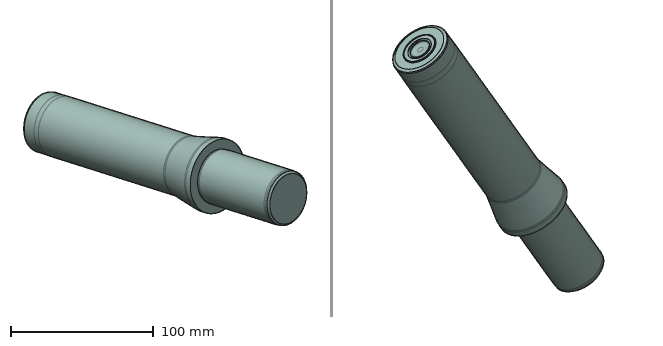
import cadquery as cq

LENGTH = 242.0
FRONT_X = -LENGTH / 2

BARREL_DIAMETER = 44.0
FACE_DIAMETER = 38.7
RIM_DIAMETER = 43.0
RIM_SETBACK = 0.7
LEAD_IN_START = 1.7
LEAD_IN_START_DIAMETER = 43.8
LEAD_IN_BLEND_START = 11.4
LEAD_IN_BLEND_START_DIAMETER = 43.8
LEAD_IN_END = 15.7

FLARE_START = 140.8
FLARE_END = 166.5
COLLAR_END = 171.5
COLLAR_DIAMETER = 54.0
FLARE_BLEND_RADIUS = 7.3

SHANK_DIAMETER = 40.0
RELIEF_DIAMETER = 39.5
REAR_RELIEF_START = 239.0
FRONT_RELIEF_END = 172.3
RELIEF_CONE_LENGTH = 1.2
END_CHAMFER = 1.5

PLUG_DIAMETER = 25.7
PLUG_LENGTH = 14.5
PLUG_CHAMFER = 0.7
RECESS_DIAMETER = 18.5
RECESS_DEPTH = 0.5
STEP_DIAMETER = 15.5
DISH_DIAMETER = 13.5
DISH_RIM_DEPTH = 1.0
DISH_FLOOR_DIAMETER = 4.4
DISH_FLOOR_DEPTH = 1.5


def axial_sketch():
    """XY workplane whose local X starts at the front face and local Y is the radius."""
    return cq.Workplane("XY", origin=(FRONT_X, 0, 0))


def revolve_about_axis(profile):
    return profile.close().revolve(360, (0, 0, 0), (1, 0, 0))


def blend_flare(bar):
    """Round the two circular edges at the small and large ends of the flare."""
    tolerance = 0.2
    for station in (FLARE_START, FLARE_END):
        x = FRONT_X + station
        edge = cq.selectors.BoxSelector(
            (x - tolerance, -LENGTH, -LENGTH),
            (x + tolerance, LENGTH, LENGTH),
            boundingbox=True,
        )
        bar = bar.edges(edge).edges("%CIRCLE").fillet(FLARE_BLEND_RADIUS)
    return bar


def make_bar():
    """Barrel, flared collar and shank, with a blind hole for the plug."""
    barrel_radius = BARREL_DIAMETER / 2
    collar_radius = COLLAR_DIAMETER / 2
    shank_radius = SHANK_DIAMETER / 2
    relief_radius = RELIEF_DIAMETER / 2
    profile = (
        axial_sketch()
        .moveTo(PLUG_LENGTH, 0)
        .lineTo(PLUG_LENGTH, PLUG_DIAMETER / 2)
        .lineTo(0, PLUG_DIAMETER / 2)
        .lineTo(0, FACE_DIAMETER / 2)
        .lineTo(RIM_SETBACK, RIM_DIAMETER / 2)
        .lineTo(LEAD_IN_START, LEAD_IN_START_DIAMETER / 2)
        .lineTo(LEAD_IN_BLEND_START, LEAD_IN_BLEND_START_DIAMETER / 2)
        .lineTo(LEAD_IN_END, barrel_radius)
        .lineTo(FLARE_START, barrel_radius)
        .lineTo(FLARE_END, collar_radius)
        .lineTo(COLLAR_END, collar_radius)
        .lineTo(COLLAR_END, relief_radius)
        .lineTo(FRONT_RELIEF_END, relief_radius)
        .lineTo(FRONT_RELIEF_END + RELIEF_CONE_LENGTH, shank_radius)
        .lineTo(REAR_RELIEF_START - RELIEF_CONE_LENGTH, shank_radius)
        .lineTo(REAR_RELIEF_START, relief_radius)
        .lineTo(LENGTH - END_CHAMFER, relief_radius)
        .lineTo(LENGTH, relief_radius - END_CHAMFER)
        .lineTo(LENGTH, 0)
    )
    return blend_flare(revolve_about_axis(profile))


def make_plug():
    """Chamfered plug, flush with the front face, with a stepped recess and a shallow dish."""
    plug_radius = PLUG_DIAMETER / 2
    profile = (
        axial_sketch()
        .moveTo(DISH_FLOOR_DEPTH, 0)
        .lineTo(DISH_FLOOR_DEPTH, DISH_FLOOR_DIAMETER / 2)
        .lineTo(DISH_RIM_DEPTH, DISH_DIAMETER / 2)
        .lineTo(DISH_RIM_DEPTH, STEP_DIAMETER / 2)
        .lineTo(RECESS_DEPTH, STEP_DIAMETER / 2)
        .lineTo(RECESS_DEPTH, RECESS_DIAMETER / 2)
        .lineTo(0, RECESS_DIAMETER / 2)
        .lineTo(0, plug_radius - PLUG_CHAMFER)
        .lineTo(PLUG_CHAMFER, plug_radius)
        .lineTo(PLUG_LENGTH, plug_radius)
        .lineTo(PLUG_LENGTH, 0)
    )
    return revolve_about_axis(profile)


bar = make_bar()
plug = make_plug()
result = cq.Compound.makeCompound([bar.val(), plug.val()])